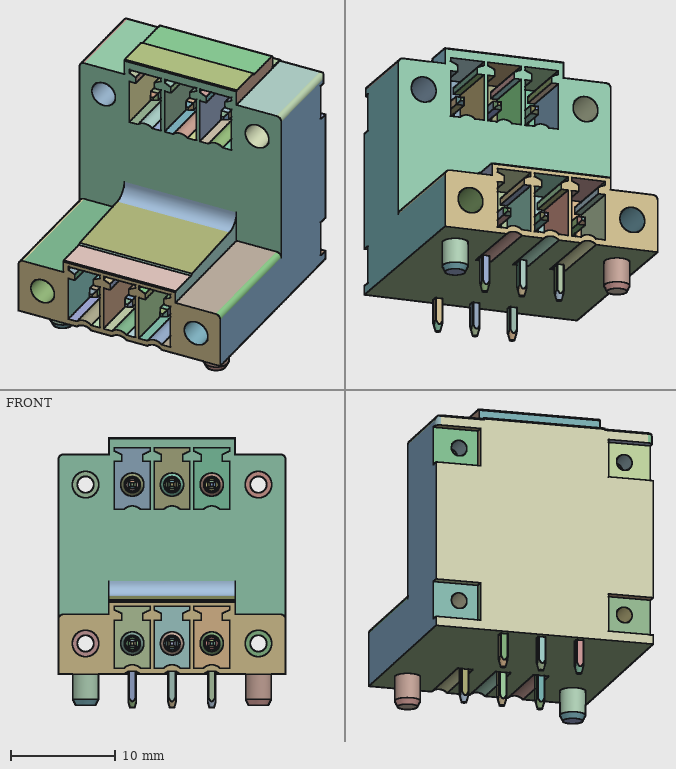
import cadquery as cq
import math

WIDTH = 21.8
DEPTH = 21.9
HEIGHT = 22.7
TOTAL_HEIGHT = 25.9
UPPER_FRONT_Y = 12.7
FLANGE_WIDTH = 4.85
BLOCK_WIDTH = WIDTH - 2 * FLANGE_WIDTH
EDGE_RADIUS = 0.52
REAR_CHAMFER = 0.15
LIP_CHAMFER = 0.1

PITCH = 3.8
CONTACT_XS = [-PITCH, 0.0, PITCH]
LOWER_Z = 2.95
TIER_RISE = 15.23
UPPER_Z = LOWER_Z + TIER_RISE
LOWER_LEG_Y = 8.0
UPPER_LEG_Y = 20.72
TIERS = [(0.0, LOWER_Z, LOWER_LEG_Y), (UPPER_FRONT_Y, UPPER_Z, UPPER_LEG_Y)]

UPPER_FLANGE_Z = 21.08
LOWER_FLANGE_Z = 5.75

UPPER_STEP_Y = 16.25
UPPER_STEP_DROP = 0.18
UPPER_BLOCK_BACK_Y = 20.25
BACK_STRIP_RISE = 0.1
LOWER_TOP_Z = 7.02
LOWER_STEP_START_Y = 3.25
LOWER_STEP_END_Y = 3.45
LOWER_STEP_RISE = 0.13
RAMP_END_Z = 7.49
ROOT_RADIUS = 1.45

CAVITY_DEPTH = 6.48
CAVITY_HALF_WIDTH = 1.7
CAVITY_TOP = 3.55
CAVITY_FLOOR = -2.35
NECK_HALF_WIDTH = 1.0
NECK_BOTTOM = 2.23
NECK_TOP = 2.87
FLARE_TOP = 3.2
RIB_HALF_WIDTH = 0.78
RIB_HEIGHT = 0.3

COLLAR_BASE_RADIUS = 1.11
COLLAR_NOSE_RADIUS = 0.78
COLLAR_TIP_RADIUS = 0.62
COLLAR_LENGTH = 1.04
COLLAR_NOSE_LENGTH = 0.13

PIN_SIZE = 0.8
PIN_RECESS = 1.4
PIN_TIP_SIZE = 0.3
PIN_TIP_LENGTH = 0.57
LEG_END_Z = HEIGHT - TOTAL_HEIGHT
LEG_CHAMFER = 0.1
LEG_END_RADIUS = 0.23
LEG_TAPER = 0.6

HOLE_X = 8.3
HOLE_DIAMETER = 1.55
COUNTERBORE_DIAMETER = 2.55
COUNTERBORE_DEPTH = 5.18
UPPER_NUT_SLOT_Z = UPPER_Z
LOWER_NUT_SLOT_Z = 2.77
NUT_SLOT_HEIGHT = 3.73
NUT_SLOT_DEPTH = 0.95

PEG_DIAMETER = 2.49
PEG_Y = 4.17
PEG_LENGTH = 2.98
PEG_CHAMFER_X = 0.28
PEG_CHAMFER_Z = 0.57

SELECT_MARGIN = 0.03


def box(x0, x1, y0, y1, z0, z1):
    return cq.Workplane("XY").box(x1 - x0, y1 - y0, z1 - z0, centered=False).translate((x0, y0, z0))


def front_cylinder(x, y, z, diameter, length):
    """Cylinder running back along +Y from the given point."""
    return cq.Workplane("XZ", origin=(x, y, z)).circle(diameter / 2).extrude(-length)


def edges_within(x, y0, y1, z0, z1):
    """Selector for edges centred in a thin region of the side plane at x."""
    return cq.selectors.BoxSelector(
        (x - SELECT_MARGIN, y0 - SELECT_MARGIN, z0 - SELECT_MARGIN),
        (x + SELECT_MARGIN, y1 + SELECT_MARGIN, z1 + SELECT_MARGIN),
    )


def make_flange_body():
    body = (
        cq.Workplane("YZ", origin=(-WIDTH / 2, 0, 0))
        .polyline([
            (0, 0), (DEPTH, 0), (DEPTH, UPPER_FLANGE_Z), (UPPER_FRONT_Y, UPPER_FLANGE_Z),
            (UPPER_FRONT_Y, LOWER_FLANGE_Z), (0, LOWER_FLANGE_Z),
        ])
        .close()
        .extrude(WIDTH)
    )
    nut_slot_length = WIDTH / 2 - HOLE_X + NUT_SLOT_HEIGHT / 2
    for slot_z in (LOWER_NUT_SLOT_Z, UPPER_NUT_SLOT_Z):
        for x0 in (-WIDTH / 2, WIDTH / 2 - nut_slot_length):
            body = body.cut(box(
                x0, x0 + nut_slot_length, DEPTH - NUT_SLOT_DEPTH, DEPTH,
                slot_z - NUT_SLOT_HEIGHT / 2, slot_z + NUT_SLOT_HEIGHT / 2,
            ))
    slot_top = UPPER_NUT_SLOT_Z + NUT_SLOT_HEIGHT / 2
    for side_x in (-WIDTH / 2, WIDTH / 2):
        rear_corner = edges_within(side_x, DEPTH, DEPTH, slot_top, UPPER_FLANGE_Z)
        lower_side = edges_within(side_x, 0, UPPER_FRONT_Y, LOWER_FLANGE_Z, LOWER_FLANGE_Z)
        upper_side = edges_within(side_x, UPPER_FRONT_Y, DEPTH, UPPER_FLANGE_Z, UPPER_FLANGE_Z)
        body = body.edges(rear_corner + lower_side + upper_side).fillet(EDGE_RADIUS)
    rear_wedge = (
        cq.Workplane("YZ", origin=(-WIDTH / 2, 0, 0))
        .polyline([
            (DEPTH, UPPER_FLANGE_Z),
            (DEPTH - REAR_CHAMFER, UPPER_FLANGE_Z),
            (DEPTH, UPPER_FLANGE_Z - REAR_CHAMFER),
        ])
        .close()
        .extrude(WIDTH)
    )
    return body.cut(rear_wedge)


def make_contact_block():
    strip_z = UPPER_FLANGE_Z + BACK_STRIP_RISE
    upper_back_z = HEIGHT - UPPER_STEP_DROP
    root_start_y = UPPER_FRONT_Y - ROOT_RADIUS
    diagonal = ROOT_RADIUS * math.sqrt(0.5)
    return (
        cq.Workplane("YZ", origin=(-BLOCK_WIDTH / 2, 0, 0))
        .moveTo(0, 0)
        .lineTo(DEPTH, 0)
        .lineTo(DEPTH, strip_z - REAR_CHAMFER)
        .lineTo(DEPTH - REAR_CHAMFER, strip_z)
        .lineTo(UPPER_BLOCK_BACK_Y, strip_z)
        .lineTo(UPPER_BLOCK_BACK_Y, upper_back_z - REAR_CHAMFER)
        .lineTo(UPPER_BLOCK_BACK_Y - REAR_CHAMFER, upper_back_z)
        .lineTo(UPPER_STEP_Y, upper_back_z)
        .lineTo(UPPER_STEP_Y, HEIGHT)
        .lineTo(UPPER_FRONT_Y + LIP_CHAMFER, HEIGHT)
        .lineTo(UPPER_FRONT_Y, HEIGHT - LIP_CHAMFER)
        .lineTo(UPPER_FRONT_Y, RAMP_END_Z + ROOT_RADIUS)
        .threePointArc(
            (root_start_y + diagonal, RAMP_END_Z + ROOT_RADIUS - diagonal), (root_start_y, RAMP_END_Z))
        .lineTo(LOWER_STEP_END_Y, LOWER_TOP_Z + LOWER_STEP_RISE)
        .lineTo(LOWER_STEP_START_Y, LOWER_TOP_Z)
        .lineTo(LIP_CHAMFER, LOWER_TOP_Z)
        .lineTo(0, LOWER_TOP_Z - LIP_CHAMFER)
        .close()
        .extrude(BLOCK_WIDTH)
    )


def make_cavity(x, front_y, axis_z):
    """Keyed plug cavity with a rounded rib along its floor and a collar at its rear wall."""
    cavity = (
        cq.Workplane("XZ", origin=(x, front_y, axis_z))
        .moveTo(-CAVITY_HALF_WIDTH, CAVITY_FLOOR)
        .lineTo(-RIB_HALF_WIDTH, CAVITY_FLOOR)
        .threePointArc((0, CAVITY_FLOOR + RIB_HEIGHT), (RIB_HALF_WIDTH, CAVITY_FLOOR))
        .lineTo(CAVITY_HALF_WIDTH, CAVITY_FLOOR)
        .lineTo(CAVITY_HALF_WIDTH, NECK_BOTTOM)
        .lineTo(NECK_HALF_WIDTH, NECK_BOTTOM)
        .lineTo(NECK_HALF_WIDTH, NECK_TOP)
        .lineTo(CAVITY_HALF_WIDTH, FLARE_TOP)
        .lineTo(CAVITY_HALF_WIDTH, CAVITY_TOP)
        .lineTo(-CAVITY_HALF_WIDTH, CAVITY_TOP)
        .lineTo(-CAVITY_HALF_WIDTH, FLARE_TOP)
        .lineTo(-NECK_HALF_WIDTH, NECK_TOP)
        .lineTo(-NECK_HALF_WIDTH, NECK_BOTTOM)
        .lineTo(-CAVITY_HALF_WIDTH, NECK_BOTTOM)
        .close()
        .extrude(-CAVITY_DEPTH)
    )
    collar = (
        cq.Workplane("XY", origin=(x, front_y + CAVITY_DEPTH, axis_z))
        .polyline([
            (0, 0), (COLLAR_BASE_RADIUS, 0), (COLLAR_NOSE_RADIUS, COLLAR_NOSE_LENGTH - COLLAR_LENGTH),
            (COLLAR_TIP_RADIUS, -COLLAR_LENGTH), (0, -COLLAR_LENGTH),
        ])
        .close()
        .revolve(360, (0, 0, 0), (0, 1, 0))
    )
    return cavity.cut(collar)


def make_underside_groove(x):
    """Shallow arched groove under a lower cavity, running back to the contact leg."""
    return (
        cq.Workplane("XZ", origin=(x, 0, 0))
        .moveTo(-RIB_HALF_WIDTH, 0)
        .threePointArc((0, RIB_HEIGHT), (RIB_HALF_WIDTH, 0))
        .close()
        .extrude(-(LOWER_LEG_Y + PIN_SIZE / 2))
    )


def make_peg(x):
    radius = PEG_DIAMETER / 2
    return (
        cq.Workplane("XZ", origin=(x, PEG_Y, 0))
        .polyline([
            (0, 0), (radius, 0), (radius, PEG_CHAMFER_Z - PEG_LENGTH),
            (radius - PEG_CHAMFER_X, -PEG_LENGTH), (0, -PEG_LENGTH),
        ])
        .close()
        .revolve(360, (0, 0, 0), (0, 1, 0))
    )


def make_pin(x, front_y, axis_z, leg_y):
    """Right-angle contact: a horizontal blade with a pyramid tip and a vertical solder leg."""
    half = PIN_SIZE / 2
    shoulder_y = front_y + PIN_RECESS + PIN_TIP_LENGTH
    blade = box(x - half, x + half, shoulder_y, leg_y + half, axis_z - half, axis_z + half)
    tip = (
        cq.Workplane("XZ", origin=(x, shoulder_y, axis_z))
        .rect(PIN_SIZE, PIN_SIZE)
        .workplane(offset=PIN_TIP_LENGTH)
        .rect(PIN_TIP_SIZE, PIN_TIP_SIZE)
        .loft()
    )
    leg = (
        box(x - half, x + half, leg_y - half, leg_y + half, LEG_END_Z, axis_z)
        .edges("|Z")
        .chamfer(LEG_CHAMFER)
    )
    taper_slope = (half - LEG_END_RADIUS) / LEG_TAPER
    cone_height = axis_z - LEG_END_Z
    cone = cq.Workplane(cq.Solid.makeCone(
        LEG_END_RADIUS, LEG_END_RADIUS + taper_slope * cone_height, cone_height,
        pnt=cq.Vector(x, leg_y, LEG_END_Z),
    ))
    return blade.union(tip).union(leg.intersect(cone))


def make_housing(pins):
    body = make_flange_body().union(make_contact_block())
    for front_y, axis_z, _ in TIERS:
        for x in CONTACT_XS:
            body = body.cut(make_cavity(x, front_y, axis_z))
        for x in (-HOLE_X, HOLE_X):
            body = body.cut(front_cylinder(x, front_y, axis_z, COUNTERBORE_DIAMETER, COUNTERBORE_DEPTH))
            body = body.cut(front_cylinder(x, front_y, axis_z, HOLE_DIAMETER, DEPTH - front_y))
    for x in CONTACT_XS:
        body = body.cut(make_underside_groove(x))
    for x in (-HOLE_X, HOLE_X):
        body = body.union(make_peg(x))
    for pin in pins:
        body = body.cut(pin)
    return body


pins = [
    make_pin(x, front_y, axis_z, leg_y)
    for front_y, axis_z, leg_y in TIERS
    for x in CONTACT_XS
]

housing = make_housing(pins)

result = cq.Compound.makeCompound([housing.val(), *[pin.val() for pin in pins]])